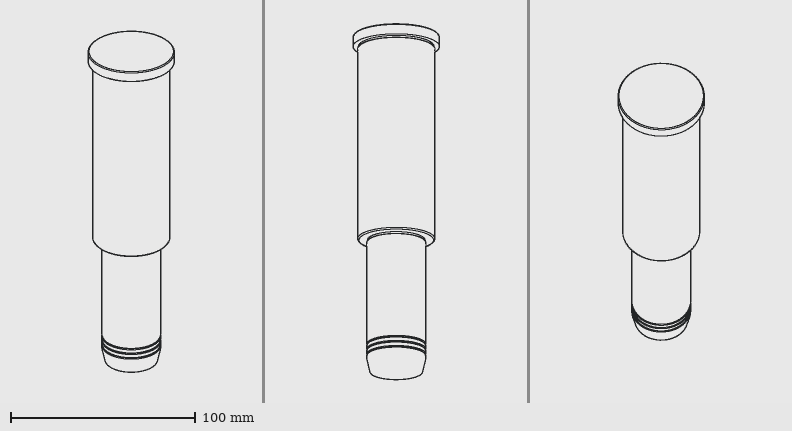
import cadquery as cq

total_length = 191.0
head_radius = 23.5
head_height = 6.0
head_chamfer = 0.5

body_radius = 21.0
body_bottom = 75.0
body_chamfer = 0.8

pin_radius = 16.0

neck_length = 1.1
neck_depth = 0.4

groove_width = 1.0
groove_depth = 0.4
first_groove_height = 9.7
groove_pitch = 2.9
groove_count = 3

taper_height = 7.5
tip_radius = 14.3
tip_fillet = 0.5


def disc(radius, bottom, top):
    """Cylinder on the Z axis between two heights."""
    return cq.Workplane("XY").workplane(offset=bottom).circle(radius).extrude(top - bottom)


def make_head():
    head = disc(head_radius, total_length - head_height, total_length)
    return head.faces(">Z").edges().chamfer(head_chamfer)


def make_body():
    head_bottom = total_length - head_height
    body_top = head_bottom - neck_length
    body = disc(body_radius, body_bottom, body_top)
    body = body.faces("<Z").edges().chamfer(body_chamfer)
    return body.union(disc(body_radius - neck_depth, body_top, head_bottom))


def make_tip():
    tip = (
        cq.Workplane("XY")
        .circle(tip_radius)
        .workplane(offset=taper_height)
        .circle(pin_radius)
        .loft(ruled=True)
    )
    return tip.faces("<Z").edges().fillet(tip_fillet)


def make_pin():
    neck_bottom = body_bottom - neck_length
    pin = make_tip().union(disc(pin_radius, taper_height, neck_bottom))
    return pin.union(disc(pin_radius - neck_depth, neck_bottom, body_bottom))


def make_groove(height):
    """Ring with a V section that cuts a shallow groove centred on the given height."""
    half_width = groove_width / 2
    section = [
        (pin_radius, height - half_width),
        (pin_radius - groove_depth, height),
        (pin_radius, height + half_width),
    ]
    return cq.Workplane("XZ").polyline(section).close().revolve(360, (0, 0, 0), (0, 1, 0))


result = make_head().union(make_body()).union(make_pin())
for index in range(groove_count):
    result = result.cut(make_groove(first_groove_height + index * groove_pitch))